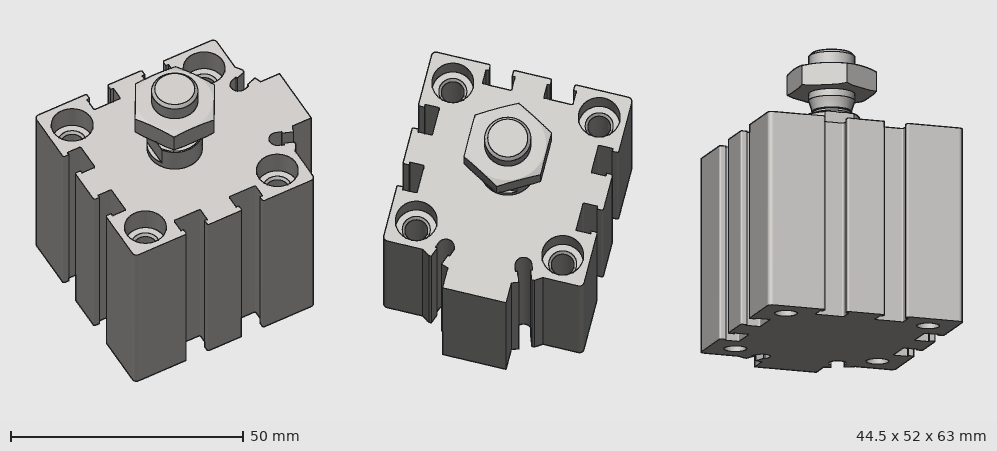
import cadquery as cq
import math

overall_height = 63.0

housing_width = 44.5
housing_height = 43.0
corner_radius = 1.0
half_width = housing_width / 2
tab_half_width = 7.05
overall_depth = 52.0
tab_end_y = overall_depth - half_width

slot_spacing = 13.6
slot_mouth_width = 5.15
slot_inner_width = 6.5
slot_lip = 1.4
slot_depth = 4.6
slot_mouth_radius = 0.4
slot_floor_radius = 0.3

groove_x = 8.6
groove_y = 20.55
groove_tilt = 20.0
groove_neck_width = 2.85
groove_diameter = 3.65
groove_shoulder = 1.2
groove_neck_length = 7.55

lip_foot_x = 13.35
lip_crest_x = 11.7
lip_crest_y = 23.3
hook_root_y = 25.1

hole_spacing = 32.5
hole_diameter = 4.9
counterbore_diameter = 9.0
counterbore_depth = 5.7
countersink_diameter = 6.05

rod_length = overall_height - housing_height
shank_diameter = 12.0
shank_height = 5.85
shank_chamfer = 0.2
flats_width = 10.0
flats_start = 1.3
neck_diameter = 8.2
neck_start = 6.5
neck_height = 0.45
neck_chamfer = 0.45
flare_diameter = 8.55
flare_start = 7.1
flare_hollow = 0.05
thread_diameter = 10.0
thread_start = 9.5
thread_chamfer = 0.7

nut_across_flats = 17.0
nut_start = 11.0
nut_height = 5.0
nut_top_face_diameter = 16.6
nut_bottom_face_diameter = 17.9
nut_top_chamfer_height = 0.45
nut_bottom_chamfer_height = 0.25


def prism(outline):
    """Closed outline extruded over the full housing height."""
    return outline.close().extrude(housing_height)


def t_slot():
    """Cutter for one T-slot, centred on X = 0 and opening toward +Y at Y = 0."""
    mouth = slot_mouth_width / 2
    inner = slot_inner_width / 2
    arc_inset = slot_mouth_radius * (1 - math.sqrt(0.5))
    arc_mid_x = mouth + arc_inset
    flared = mouth + slot_mouth_radius
    neck = prism(
        cq.Workplane("XY")
        .moveTo(-flared, 0)
        .threePointArc((-arc_mid_x, -arc_inset), (-mouth, -slot_mouth_radius))
        .lineTo(-mouth, -slot_lip)
        .lineTo(mouth, -slot_lip)
        .lineTo(mouth, -slot_mouth_radius)
        .threePointArc((arc_mid_x, -arc_inset), (flared, 0))
    )
    chamber_depth = slot_depth - slot_lip
    chamber = (
        cq.Workplane("XY", origin=(0, -slot_lip - chamber_depth / 2, 0))
        .rect(2 * inner, chamber_depth)
        .extrude(housing_height)
        .edges("|Z and <Y")
        .fillet(slot_floor_radius)
    )
    return neck.union(chamber)


def raised_back():
    """Central tab with the hooks and sloping lips that border the keyhole grooves."""
    tilt = math.tan(math.radians(groove_tilt))
    lip_inner_x = groove_x + (lip_crest_y - groove_y) * tilt
    hook_end_y = hook_root_y - (lip_inner_x - tab_half_width) * tilt
    half_outline = [
        (0, groove_y),
        (lip_foot_x, groove_y),
        (lip_foot_x, half_width),
        (lip_crest_x, lip_crest_y),
        (lip_inner_x, lip_crest_y),
        (lip_inner_x, hook_end_y),
        (tab_half_width, hook_root_y),
        (tab_half_width, tab_end_y),
        (0, tab_end_y),
    ]
    right = prism(cq.Workplane("XY").polyline(half_outline))
    return right.union(right.mirror("YZ"))


def keyhole_groove():
    """Cutter for the round-bottomed groove, shouldered in to a narrow neck, on the +X side of the tab."""
    bore = cq.Workplane("XY").circle(groove_diameter / 2).extrude(housing_height)
    neck = cq.Workplane("XY").rect(groove_neck_width, groove_neck_length).extrude(housing_height)
    neck = neck.translate((0, groove_neck_length / 2, 0))
    chamber = cq.Workplane("XY").rect(groove_diameter, groove_shoulder).extrude(housing_height)
    chamber = chamber.translate((0, groove_shoulder / 2, 0))
    groove = bore.union(chamber).union(neck).rotate((0, 0, 0), (0, 0, 1), -groove_tilt)
    return groove.translate((groove_x, groove_y, 0))


def mounting_hole():
    """Cutter for one counterbored through hole with a countersunk step, on the Z axis."""
    floor_z = housing_height - counterbore_depth
    hole_radius = hole_diameter / 2
    countersink_radius = countersink_diameter / 2
    profile = [
        (0, 0),
        (hole_radius, 0),
        (hole_radius, floor_z - (countersink_radius - hole_radius)),
        (countersink_radius, floor_z),
        (counterbore_diameter / 2, floor_z),
        (counterbore_diameter / 2, housing_height),
        (0, housing_height),
    ]
    return cq.Workplane("XZ").polyline(profile).close().revolve(360, (0, 0), (0, 1))


def make_housing():
    body = (
        cq.Workplane("XY")
        .rect(housing_width, housing_width)
        .extrude(housing_height)
        .edges("|Z")
        .fillet(corner_radius)
        .union(raised_back())
    )
    groove = keyhole_groove()
    body = body.cut(groove).cut(groove.mirror("YZ"))

    for side_angle in (90, 180, 270):
        for offset in (-slot_spacing / 2, slot_spacing / 2):
            slot = t_slot().translate((offset, half_width, 0))
            body = body.cut(slot.rotate((0, 0, 0), (0, 0, 1), side_angle))

    for x in (-hole_spacing / 2, hole_spacing / 2):
        for y in (-hole_spacing / 2, hole_spacing / 2):
            body = body.cut(mounting_hole().translate((x, y, 0)))
    return body


def make_rod():
    """Rod standing on the housing: shank with two flats, necked relief and threaded end."""
    shank = shank_diameter / 2
    neck = neck_diameter / 2
    flare = flare_diameter / 2
    thread = thread_diameter / 2
    neck_end = neck_start + neck_height
    flare_mid = ((flare + thread) / 2 - flare_hollow, (flare_start + thread_start) / 2)
    rod = (
        cq.Workplane("XZ")
        .moveTo(0, 0)
        .lineTo(shank, 0)
        .lineTo(shank, shank_height - shank_chamfer)
        .lineTo(shank - shank_chamfer, shank_height)
        .lineTo(neck + neck_chamfer, shank_height)
        .lineTo(neck, neck_start)
        .lineTo(neck, neck_end)
        .lineTo(flare, flare_start)
        .threePointArc(flare_mid, (thread, thread_start))
        .lineTo(thread, rod_length - thread_chamfer)
        .lineTo(thread - thread_chamfer, rod_length)
        .lineTo(0, rod_length)
        .close()
        .revolve(360, (0, 0), (0, 1))
    )
    flats_height = shank_height - flats_start
    shank_band = cq.Workplane("XY", origin=(0, 0, flats_start)).circle(shank_diameter).extrude(flats_height)
    between_flats = (
        cq.Workplane("XY", origin=(0, 0, flats_start))
        .rect(2 * shank_diameter, flats_width)
        .extrude(flats_height)
    )
    return rod.cut(shank_band.cut(between_flats)).translate((0, 0, housing_height))


def make_nut():
    """Hexagon nut with corners along Y, chamfered on both faces and bored for the rod."""
    across_corners = nut_across_flats / math.cos(math.pi / 6)
    corner = across_corners / 2
    hexagon = (
        cq.Workplane("XY")
        .transformed(rotate=(0, 0, 30))
        .polygon(6, across_corners)
        .extrude(nut_height)
    )
    chamfer_profile = [
        (thread_diameter / 2, 0),
        (nut_bottom_face_diameter / 2, 0),
        (corner, nut_bottom_chamfer_height),
        (corner, nut_height - nut_top_chamfer_height),
        (nut_top_face_diameter / 2, nut_height),
        (thread_diameter / 2, nut_height),
    ]
    envelope = cq.Workplane("XZ").polyline(chamfer_profile).close().revolve(360, (0, 0), (0, 1))
    return hexagon.intersect(envelope).translate((0, 0, housing_height + nut_start))


housing = make_housing()
rod = make_rod()
nut = make_nut()

result = cq.Compound.makeCompound([housing.val(), rod.val(), nut.val()])